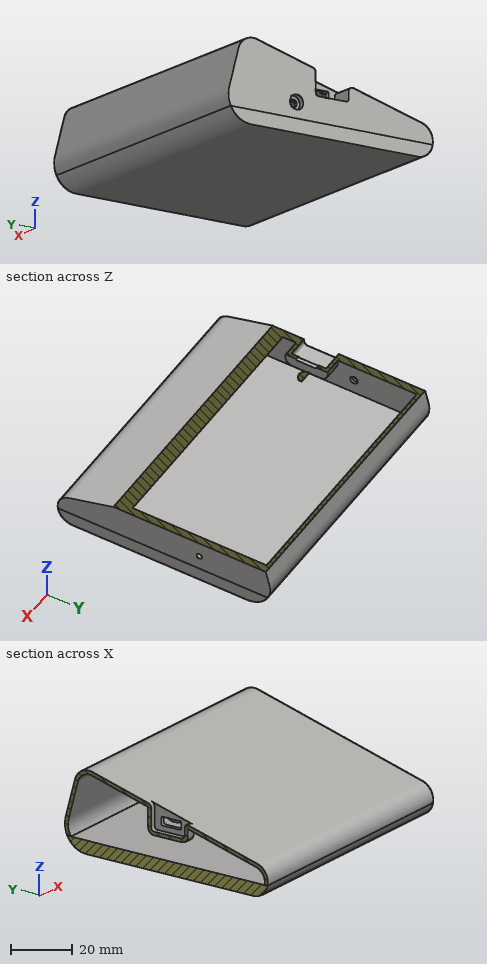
import cadquery as cq
import math

length = 100.0
depth = 81.7
tilt = 15.0
base_height = 5.0

front_radius = 6.0
back_top_radius = 6.0
back_bottom_radius = 9.0

top_wall = 1.5
end_wall = 3.0

notch_length = 8.0
notch_width = 13.2
notch_y = -0.6
notch_floor = 14.0
notch_floor_radius = 1.2
notch_rim_radius = 1.5
notch_wall = 1.5

slot_y = -0.7
slot_width = 8.0
slot_height = 3.1
slot_z = 17.5
slot_corner_radius = 0.7

hole_y = 13.6
hole_z = 10.6
hole_diameter = 2.8
counterbore_diameter = 5.2
counterbore_depth = 2.0
far_hole_diameter = 2.0

boss_x = -35.0
boss_y = 2.4
boss_diameter = 5.0
boss_end_z = 16.3

left = -length / 2
sin_tilt = math.sin(math.radians(tilt))
cos_tilt = math.cos(math.radians(tilt))

front_centre = (front_radius - depth / 2, front_radius)
back_bottom_centre = (depth / 2 - back_bottom_radius, back_bottom_radius)

top_offset = front_radius - front_centre[0] * sin_tilt + front_centre[1] * cos_tilt
back_offset = back_bottom_radius + back_bottom_centre[0] * cos_tilt + back_bottom_centre[1] * sin_tilt
back_top_centre = (
    (back_offset - back_top_radius) * cos_tilt - (top_offset - back_top_radius) * sin_tilt,
    (back_offset - back_top_radius) * sin_tilt + (top_offset - back_top_radius) * cos_tilt,
)


def on_arc(centre, radius, angle):
    """Point (y, z) on a corner arc; the angle is measured from +Y towards +Z."""
    turn = math.radians(angle)
    return centre[0] + radius * math.cos(turn), centre[1] + radius * math.sin(turn)


def wedge(x_start, x_end, inset):
    """Wedge with rounded corners whose side profile is moved inwards by the inset."""
    front = front_radius - inset
    back_top = back_top_radius - inset
    back_bottom = back_bottom_radius - inset
    top_angle = 90 + tilt
    return (
        cq.Workplane("YZ", origin=(x_start, 0, 0))
        .moveTo(*on_arc(front_centre, front, 270))
        .lineTo(*on_arc(back_bottom_centre, back_bottom, 270))
        .threePointArc(
            on_arc(back_bottom_centre, back_bottom, 330),
            on_arc(back_bottom_centre, back_bottom, tilt),
        )
        .lineTo(*on_arc(back_top_centre, back_top, tilt))
        .threePointArc(
            on_arc(back_top_centre, back_top, 60),
            on_arc(back_top_centre, back_top, top_angle),
        )
        .lineTo(*on_arc(front_centre, front, top_angle))
        .threePointArc(
            on_arc(front_centre, front, 180),
            on_arc(front_centre, front, 270),
        )
        .close()
        .extrude(x_end - x_start)
    )


def slab(z_low, z_high):
    """Block wider than the part between two heights."""
    return cq.Workplane("XY", origin=(0, 0, z_low)).rect(2 * length, 2 * depth).extrude(z_high - z_low)


def notch_block(margin):
    """Space of the notch, grown by a margin on its sides, floor and back, with rounded floor edges."""
    floor = notch_floor - margin
    return (
        cq.Workplane("XY", origin=(left, notch_y, floor))
        .rect(2 * (notch_length + margin), notch_width + 2 * margin)
        .extrude(length)
        .edges("|X and <Z")
        .fillet(notch_floor_radius + margin)
    )


def boss():
    """Round boss square to the sloped top, reaching up into the ceiling."""
    ceiling_height = top_offset - top_wall / 2
    end_height = boss_end_z * cos_tilt - boss_y * sin_tilt
    end_plane = cq.Plane(
        origin=(boss_x, boss_y, boss_end_z),
        xDir=(1, 0, 0),
        normal=(0, -sin_tilt, cos_tilt),
    )
    return cq.Workplane(end_plane).circle(boss_diameter / 2).extrude(ceiling_height - end_height)


def end_hole(x_start, diameter, hole_length):
    """Cylinder along X on the axis of the end holes."""
    return (
        cq.Workplane("YZ", origin=(x_start, hole_y, hole_z)).circle(diameter / 2).extrude(hole_length)
    )


def slot():
    """Rounded slot from the notch into the hollow."""
    return (
        cq.Workplane("YZ", origin=(left + notch_length - notch_wall, slot_y, slot_z))
        .rect(slot_width, slot_height)
        .extrude(3 * notch_wall)
        .edges("|X")
        .fillet(slot_corner_radius)
    )


def round_notch_rim(body):
    """Round the two edges along X where the notch sides meet the sloped top."""
    clearance = 0.1
    rim_box = cq.selectors.BoxSelector(
        (left, notch_y - notch_width / 2 - clearance, notch_floor + 2 * notch_floor_radius),
        (left + notch_length, notch_y + notch_width / 2 + clearance, 2 * depth),
    )
    return body.edges("|X").edges(rim_box).fillet(notch_rim_radius)


def build_base():
    """Solid bottom plate."""
    return wedge(left, -left, 0).intersect(slab(0, base_height))


def build_cover():
    """Hollow cover with notch, slot, end holes and boss."""
    above_base = slab(base_height, depth)
    outer = wedge(left, -left, 0).intersect(above_base)
    outer = outer.cut(notch_block(0))
    outer = round_notch_rim(outer)
    hollow = wedge(left + end_wall, -left - end_wall, top_wall).intersect(above_base)
    hollow = hollow.cut(notch_block(notch_wall))
    return (
        outer.cut(hollow)
        .union(boss())
        .cut(slot())
        .cut(end_hole(left, counterbore_diameter, counterbore_depth))
        .cut(end_hole(left, hole_diameter, 2 * end_wall))
        .cut(end_hole(-left - 2 * end_wall, far_hole_diameter, 2 * end_wall))
    )


base = build_base()
cover = build_cover()

result = cq.Compound.makeCompound([base.val(), cover.val()])